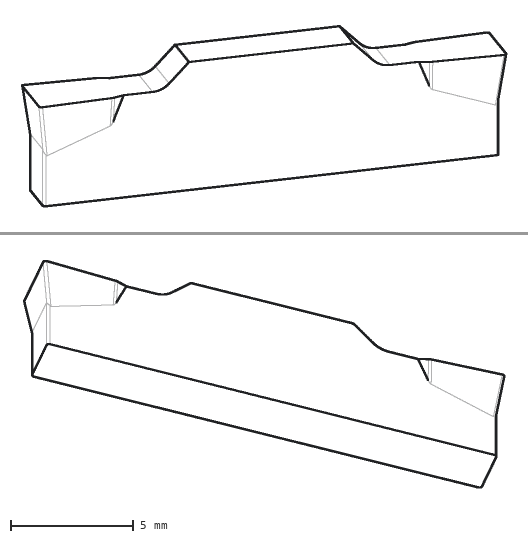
import cadquery as cq
import math

length = 19.96
head_width = 2.57
body_width = 1.98
height = 5.65

ledge_height = 4.51
relief_height = 2.5
relief_angle = 7.0
plateau_length = 7.03
root_radius = 1.0

side_angle = 2.6
head_length = 3.2
ramp_end_y = 6.3
ramp_blend_radius = 0.5

edge_radius = 0.12

relief_slope = math.tan(math.radians(relief_angle))
body_length = length - 2 * (ledge_height - relief_height) * relief_slope
head_depth = (head_width - body_width) / 2 / relief_slope


def make_body():
    """Flat bar with a raised plateau, 45 degree shoulders and rounded roots."""
    half_plateau = plateau_length / 2
    shoulder_root_y = half_plateau + height - ledge_height
    body = (
        cq.Workplane("YZ")
        .moveTo(-body_length / 2, 0)
        .lineTo(body_length / 2, 0)
        .lineTo(body_length / 2, ledge_height)
        .lineTo(shoulder_root_y, ledge_height)
        .lineTo(half_plateau, height)
        .lineTo(-half_plateau, height)
        .lineTo(-shoulder_root_y, ledge_height)
        .lineTo(-body_length / 2, ledge_height)
        .close()
        .extrude(body_width / 2, both=True)
    )
    for side in (-1, 1):
        root = cq.selectors.NearestToPointSelector((0, side * shoulder_root_y, ledge_height))
        body = body.edges("|X").edges(root).fillet(root_radius)
    return body.edges("|Z").fillet(edge_radius)


def make_head():
    """Cutting head at the +Y end, drafted inward below its top face on every side."""
    front_y = length / 2
    rear_y = front_y - head_length
    front_x = head_width / 2
    rear_x = front_x - head_length * math.tan(math.radians(side_angle))
    body_x = body_width / 2
    head = (
        cq.Workplane("XY")
        .workplane(offset=ledge_height)
        .polyline([
            (-front_x, front_y),
            (-rear_x, rear_y),
            (-body_x, ramp_end_y),
            (body_x, ramp_end_y),
            (rear_x, rear_y),
            (front_x, front_y),
        ])
        .close()
        .extrude(-head_depth, taper=relief_angle)
    )
    upright = head.edges("not #Z")
    corners = upright.edges(">Y")
    head = corners.fillet(edge_radius)
    for side in (-1, 1):
        middle_x = side * (rear_x - head_depth * relief_slope / 2)
        point = (middle_x, rear_y, ledge_height - head_depth / 2)
        ramp_edge = cq.selectors.NearestToPointSelector(point)
        head = head.edges("not #Z").edges(ramp_edge).fillet(ramp_blend_radius)
    return head


head = make_head()
result = make_body().union(head).union(head.mirror("XZ"))